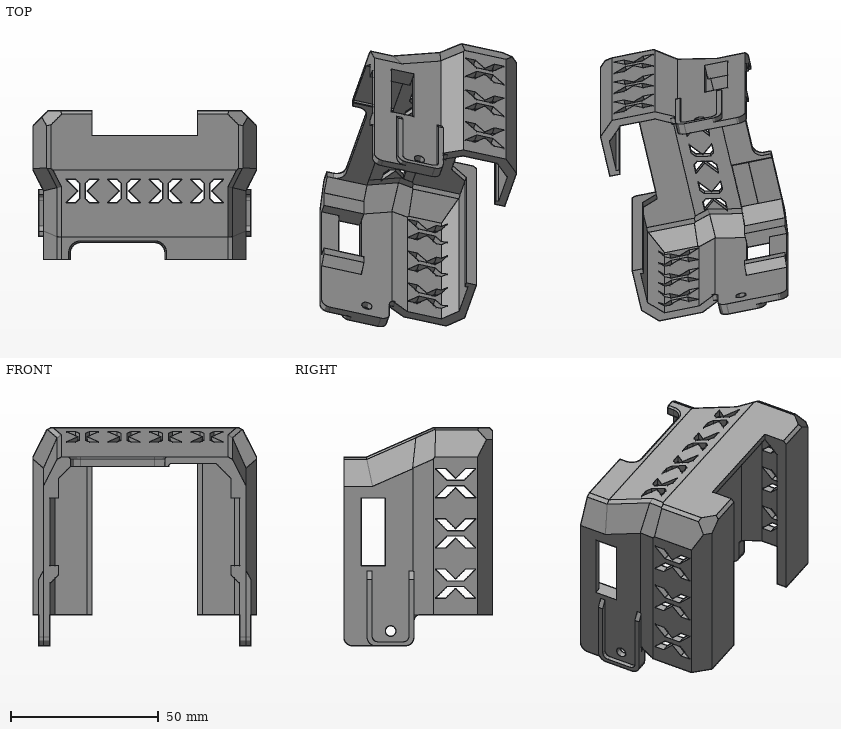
import cadquery as cq
import math

wide_half = 37.9
narrow_half = 34.4
depth = 50.5
height = 74.03
front_height = 64.03
wall = 2.25
rear_wall = 2.6

ridge_y = 30.4
waist_y = 23.5
slope_foot_y = 7.66
rear_floor = 10.55

facet_drop = 9.95
facet_inset = 4.65
brow_drop = 0.8
brow_inset = 6.15

corner_size = 5.1
inner_corner_size = 4.9
corner_top_size = 4.1
back_brow = 1.1

rear_gap_half = 17.85
rear_gap_y = 42.15
lip_width = 1.65
lip_depth = 1.0

frame_depth = 14.0
frame_half = 29.2
frame_ceiling = 61.8
frame_corner = 5.0
frame_foot = 24.1
thick_ceiling = 60.8
thick_end_x = 8.2
thick_step = 0.5

window_front_y = 6.0
window_bottom = 27.25
window_top = 50.1

notch_left = -25.2
notch_right = 6.8
notch_depth = 5.8
notch_radius = 3.5
notch_bevel = 0.6

leg_rear_y = 23.84
leg_radius = 3.0
leg_root_radius = 2.0
rib_front_y = 7.9
rib_half = 35.95
rib_width = 1.7
rib_bottom_width = 1.4
rib_inner_radius = 2.0
rib_top = 25.4
rib_taper = 2.8
hole_diameter = 3.5
hole_y = 15.9
hole_z = 5.05

vent_gap = 1.92
vent_apex = 0.6
side_vent_flat = 5.7
side_vent_arm = 3.95
side_vent_y = 37.9
side_vent_count = 3
side_vent_pitch = 17.05
side_vent_first_z = 21.1
roof_vent_flat = 5.1
roof_vent_half_length = 3.92
roof_vent_y = 23.3
roof_vent_count = 4
roof_vent_pitch = 14.07

reach = 200.0


def box(x0, x1, y0, y1, z0, z1):
    return cq.Workplane("XY").box(x1 - x0, y1 - y0, z1 - z0, centered=False).translate((x0, y0, z0))


def both_sides(body):
    return body.union(body.mirror("YZ"))


def along_y(points, y0, y1):
    """Extrude an (x, z) outline from y0 to y1."""
    return cq.Workplane("XZ", origin=(0, y0, 0)).polyline(points).close().extrude(y0 - y1)


def along_x(points, x0, x1):
    """Extrude a (y, z) outline from x0 to x1."""
    return cq.Workplane("YZ", origin=(x0, 0, 0)).polyline(points).close().extrude(x1 - x0)


def faceted_prism(edge_point, wall_normal, roof_normal):
    """Everything inside a wall, a roof and the facets between them, on both sides of the part."""
    corner = cq.Vector(*edge_point)
    edge = wall_normal.cross(roof_normal).normalized()
    inward = edge.cross(roof_normal)
    if inward.dot(wall_normal) > 0:
        inward = inward * -1
    down = edge.cross(wall_normal)
    if down.dot(roof_normal) > 0:
        down = down * -1
    outline = [
        corner + inward * brow_inset,
        corner + inward * facet_inset + down * brow_drop,
        corner + down * facet_drop,
        corner + down * reach,
        corner + (down + inward) * reach,
        corner + inward * reach,
    ]
    start = edge * -reach
    wire = cq.Wire.makePolygon([point + start for point in outline], close=True)
    side = cq.Workplane(cq.Solid.extrudeLinear(wire, [], edge * (2 * reach)))
    return side.intersect(side.mirror("YZ"))


def envelope(side_inset, front_inset, roof_inset):
    """Stepped-in, sloped-roof body with its walls and roof moved inward."""
    rear_x = wide_half - side_inset
    front_x = narrow_half - front_inset
    low_z = front_height - roof_inset
    narrowing = math.atan2(wide_half - narrow_half, ridge_y - waist_y)
    slope = math.atan2(height - front_height, ridge_y - slope_foot_y)

    flat_wall = cq.Vector(1, 0, 0)
    flat_roof = cq.Vector(0, 0, 1)
    slant_wall = cq.Vector(math.cos(narrowing), -math.sin(narrowing), 0)
    slant_roof = cq.Vector(0, -math.sin(slope), math.cos(slope))
    ridge = cq.Vector(wide_half, ridge_y, height)
    foot = (front_x, slope_foot_y + roof_inset * math.tan(slope / 2), low_z)

    slant_x = wide_half - side_inset / math.cos(narrowing)
    slant_z = ridge.z - roof_inset / math.cos(slope)
    rear = faceted_prism((rear_x, ridge_y, height - roof_inset), flat_wall, flat_roof)
    waist = faceted_prism((slant_x, ridge_y, slant_z), slant_wall, slant_roof)
    sloped = faceted_prism(foot, flat_wall, slant_roof)
    front = faceted_prism(foot, flat_wall, flat_roof)
    return rear.intersect(waist.union(sloped).union(front))


def rear_plan(half, back_y, corner):
    """Block with cut vertical rear corners that runs out past the front."""
    front_y = -depth
    return (
        cq.Workplane("XY")
        .polyline([
            (-half, front_y), (half, front_y), (half, back_y - corner), (half - corner, back_y),
            (corner - half, back_y), (-half, back_y - corner),
        ])
        .close()
        .extrude(height)
    )


def outer_body():
    body = envelope(0, 0, 0).intersect(rear_plan(wide_half, depth, corner_size))
    body = body.intersect(box(-wide_half, wide_half, 0, depth, 0, height))
    brow = along_x(
        [(depth - back_brow, height), (depth, height - back_brow), (depth, height)], -wide_half, wide_half)
    corner_plane = cq.Plane(
        origin=(wide_half - corner_size / 2, depth - corner_size / 2, height),
        xDir=(1, 1, 0),
        normal=(1, -1, 0),
    )
    side_facet = (
        cq.Workplane(corner_plane)
        .polyline([(0, -corner_top_size), (-corner_top_size, 0), (0, corner_top_size), (corner_top_size, 0)])
        .close()
        .extrude(corner_size * 2, both=True)
    )
    body = body.cut(brow).cut(both_sides(side_facet))
    return body.cut(box(-wide_half, wide_half, leg_rear_y, depth, 0, rear_floor))


def cavity():
    back_y = depth - rear_wall
    return envelope(rear_wall, wall, wall).intersect(
        rear_plan(wide_half - rear_wall, back_y, inner_corner_size)
    )


def front_frame():
    """Thick rim behind the front opening: side pads and a cornered ceiling."""
    inner = narrow_half - wall
    taper = inner - frame_half
    pad = box(frame_half, inner, 0, frame_depth, frame_foot, window_bottom)
    pad = pad.union(along_y(
        [(frame_half, frame_foot), (inner, frame_foot), (inner, frame_foot - taper)], 0, frame_depth))
    thick_corner_x = frame_corner - frame_half - (frame_ceiling - thick_ceiling)
    lintel = box(-narrow_half, narrow_half, 0, frame_depth, window_top, height)
    lintel = lintel.cut(along_y([
        (-frame_half, window_top), (frame_half, window_top),
        (frame_half, frame_ceiling - frame_corner), (frame_half - frame_corner, frame_ceiling),
        (thick_end_x + thick_step, frame_ceiling), (thick_end_x, frame_ceiling - thick_step),
        (thick_end_x, thick_ceiling), (thick_corner_x, thick_ceiling),
        (-frame_half, frame_ceiling - frame_corner),
    ], 0, frame_depth))
    return lintel.union(both_sides(pad))


def legs_trim():
    """Material to remove at the rounded lower corners of the legs."""
    block = box(-wide_half, wide_half, 0, leg_rear_y, 0, 2 * leg_radius)
    return block.cut(block.edges("|X and <Z").fillet(leg_radius))


def leg_roots():
    """Concave rounding between the rear underside and the back edge of each leg."""
    y1 = leg_rear_y + leg_root_radius
    z0 = rear_floor - leg_root_radius
    inner = narrow_half - wall
    root = box(inner, narrow_half, leg_rear_y, y1, z0, rear_floor)
    bore = cq.Workplane("YZ", origin=(inner, y1, z0)).circle(leg_root_radius).extrude(wall)
    return both_sides(root.cut(bore))


def rear_lips():
    """Lips beside the rear opening, flaring forward at 45 degrees to carry the roof edge."""
    wall_y = depth - rear_wall
    lip_y = wall_y - lip_depth
    ceiling = height - wall
    outline = [
        (wall_y, rear_floor), (wall_y, ceiling), (rear_gap_y, ceiling),
        (lip_y, ceiling - (lip_y - rear_gap_y)), (lip_y, rear_floor),
    ]
    return both_sides(along_x(outline, rear_gap_half, rear_gap_half + lip_width))


def leg_ribs():
    """Raised U-shaped rib on the outside of each leg, fading out at the top."""
    outer = box(narrow_half, rib_half, rib_front_y, leg_rear_y, 0, rib_top)
    outer = outer.edges("|X and <Z").fillet(leg_radius)
    pocket = box(
        narrow_half, rib_half, rib_front_y + rib_width, leg_rear_y - rib_width, rib_bottom_width, rib_top
    ).edges("|X and <Z").fillet(rib_inner_radius)
    fade = along_y(
        [(narrow_half, rib_top), (rib_half, rib_top - rib_taper), (rib_half, rib_top)], 0, depth)
    return both_sides(outer.cut(pocket).cut(fade))


def roof_notch():
    def outline(z, grow):
        return (
            box(notch_left - grow, notch_right + grow, -notch_depth, notch_depth + grow, z, height)
            .edges("|Z and >Y").fillet(notch_radius + grow)
        )
    straight = outline(thick_ceiling, 0)
    bevel = outline(front_height - notch_bevel, notch_bevel).faces("<Z").edges().chamfer(notch_bevel)
    return straight.union(bevel)


def chevron(flat, outer_tip, inner_tip):
    """Half of an X vent: a flat, two 45 degree arms and an inner apex, as (along, away) points."""
    half_gap = vent_gap / 2
    right = [(flat / 2, 0), outer_tip, inner_tip]
    left = [(-along, away) for along, away in reversed(right)]
    return [(along, away + half_gap) for along, away in right + [(0, vent_apex)] + left]


def side_vents():
    arm = side_vent_arm
    points = chevron(side_vent_flat, (side_vent_flat / 2 + arm, arm), (arm - vent_apex, arm))
    vents = []
    for row in range(side_vent_count):
        z = side_vent_first_z + row * side_vent_pitch
        for sign in (1, -1):
            outline = [(side_vent_y + along, z + sign * away) for along, away in points]
            vents.append(along_x(outline, -wide_half, wide_half))
    return vents


def roof_vents():
    end = roof_vent_half_length
    points = chevron(roof_vent_flat, (end, end - roof_vent_flat / 2), (end, end + vent_apex))
    vents = []
    for column in range(roof_vent_count):
        x = (column - (roof_vent_count - 1) / 2) * roof_vent_pitch
        for sign in (1, -1):
            outline = [(x + sign * away, roof_vent_y + along) for along, away in points]
            floor = cq.Workplane("XY", origin=(0, 0, thick_ceiling))
            vents.append(floor.polyline(outline).close().extrude(height))
    return vents


def rear_opening():
    return box(-rear_gap_half, rear_gap_half, rear_gap_y, depth, 0, height)


def leg_windows():
    return box(-wide_half, wide_half, window_front_y, frame_depth, window_bottom, window_top)


def leg_holes():
    return cq.Workplane("YZ").center(hole_y, hole_z).circle(hole_diameter / 2).extrude(wide_half, both=True)


body = outer_body()
shell = body.cut(cavity()).union(front_frame().intersect(body))
shell = shell.cut(legs_trim()).union(leg_roots()).union(leg_ribs()).union(rear_lips())
shell = shell.cut(rear_opening()).cut(leg_windows()).cut(roof_notch())
for vent in side_vents() + roof_vents():
    shell = shell.cut(vent)
result = shell.cut(leg_holes())